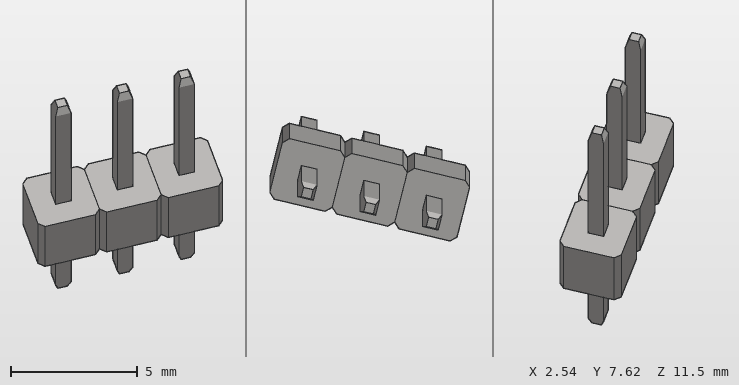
import cadquery as cq

PIN_COUNT = 3
PITCH = 2.54
PIN_LENGTH = 11.5
TAIL_LENGTH = 3.0
PIN_WIDTH = 0.64
TIP_WIDTH = 0.39
TIP_HEIGHT = 0.39
CORNER_CHAMFER = 0.23


def make_block():
    """Cubic block with chamfered vertical edges, standing on Z = 0."""
    block = cq.Workplane("XY").box(PITCH, PITCH, PITCH, centered=(True, True, False))
    return block.edges("|Z").chamfer(CORNER_CHAMFER)


def make_tip(base_z, end_z):
    """Square taper from the full pin width at base_z to the flat at end_z."""
    return (
        cq.Workplane("XY")
        .workplane(offset=base_z)
        .rect(PIN_WIDTH, PIN_WIDTH)
        .workplane(offset=end_z - base_z)
        .rect(TIP_WIDTH, TIP_WIDTH)
        .loft(ruled=True)
    )


def make_pin():
    """Square pin through the block, tapered at both ends."""
    bottom_z = -TAIL_LENGTH
    top_z = bottom_z + PIN_LENGTH
    shaft_bottom_z = bottom_z + TIP_HEIGHT
    shaft_top_z = top_z - TIP_HEIGHT
    shaft = (
        cq.Workplane("XY")
        .workplane(offset=shaft_bottom_z)
        .rect(PIN_WIDTH, PIN_WIDTH)
        .extrude(shaft_top_z - shaft_bottom_z)
    )
    return shaft.union(make_tip(shaft_bottom_z, bottom_z)).union(make_tip(shaft_top_z, top_z))


def make_header_segment(center_y):
    """One block and its pin as a single solid, centred at center_y."""
    return make_block().union(make_pin()).translate((0, center_y, 0))


first_y = -PITCH * (PIN_COUNT - 1) / 2
segments = []
for index in range(PIN_COUNT):
    segments.append(make_header_segment(first_y + index * PITCH).val())

result = cq.Compound.makeCompound(segments)